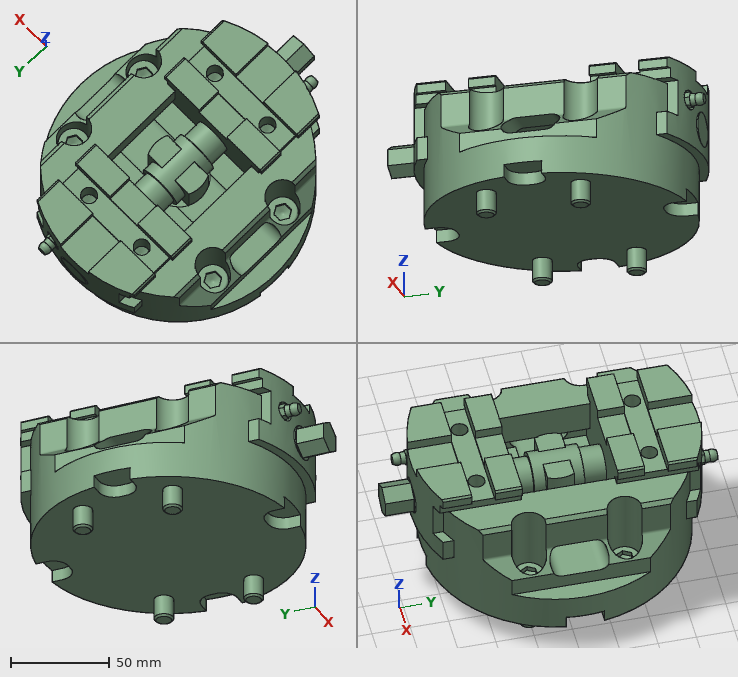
import cadquery as cq
import math

OVERALL_LENGTH = 170.8
BODY_RADIUS = 70.0
BODY_HEIGHT = 58.0

LEDGE_Z = 20.0
LEDGE_X = 60.0
SLOPE_BOTTOM_Z = 30.0
SLOPE_TOP_Z = 38.3
WALL_X = 50.0
SLOPE_FILLET = 2.0
BODY_TOP_CHAMFER = 2.0

NOTCH_WIDTH = 20.0
NOTCH_HEIGHT = 6.7
NOTCH_DEPTH = 15.0
NOTCH_CORNER_RADIUS = 8.4

TSLOT_FLOOR_Z = 28.0
TSLOT_STEP_Z = 40.1
TSLOT_NECK_HALF = 27.5
TSLOT_FOOT_HALF = 35.0

JAW_RADIUS = 75.0
JAW_INNER_Y = 25.0
JAW_TOP_Z = 70.0
JAW_RAIL_BOTTOM_Z = 59.3
JAW_RAIL_STEP_Z = 64.4
JAW_RAIL_HALF = 32.8
JAW_EDGE_CHAMFER = 1.0
KEYWAY_WIDTH = 20.0
KEYWAY_DEPTH = 5.1
GROOVE_WIDTH = 12.3
GROOVE_Y = 45.1
GROOVE_FLOOR_Z = 63.7
JAW_HOLE_X = 19.0
JAW_HOLE_DIAMETER = 8.5
JAW_HOLE_DEPTH = 17.0
DRILL_POINT_ANGLE = 118.0

WINDOW_WIDTH = 30.4
WINDOW_HEIGHT = 12.0
WINDOW_FLOOR_Z = 27.3

SPINDLE_Z = 42.0
SPINDLE_DIAMETER = 20.0
SPINDLE_END_CHAMFER = 1.0
COLLAR_DIAMETER = 24.0
COLLAR_LENGTH = 26.3
HEX_ACROSS_FLATS = 15.0
HEX_END_Y = -90.0
FORK_RADIUS = 16.2
FORK_THICKNESS = 14.0
FORK_TOP_Z = 53.1
FORK_SEAT_DEPTH = 2.0

SCREW_X = WALL_X
SCREW_SPACING_Y = 50.0
SCREW_Y = SCREW_SPACING_Y / 2
SCREW_BORE_DIAMETER = 18.0
SCREW_HEAD_DIAMETER = 16.0
SCREW_HEAD_HEIGHT = 9.9
SCREW_HEAD_FILLET = 1.0
SCREW_SEAT_Z = 13.5
SCREW_SHANK_DIAMETER = 10.0
SCREW_PROJECTION = 12.0
SCREW_TIP_CHAMFER = 1.0
SOCKET_ACROSS_FLATS = 8.0
SOCKET_DEPTH = 5.1

NIPPLE_X = 17.0
NIPPLE_Z = 52.1
NIPPLE_SEAT_DIAMETER = 10.0
NIPPLE_SEAT_Y = 70.7
NIPPLE_HEX_ACROSS_FLATS = 7.0
NIPPLE_HEX_END_Y = 74.0
NIPPLE_WAIST_Y = 76.7
NIPPLE_BEAD_PEAK_Y = 77.9
NIPPLE_BEAD_END_Y = 79.3
NIPPLE_END_Y = OVERALL_LENGTH + HEX_END_Y
NIPPLE_BEAD_DIAMETER = 6.7
NIPPLE_WAIST_DIAMETER = 6.0
NIPPLE_SHOULDER_DIAMETER = 6.3
NIPPLE_TIP_DIAMETER = 5.0

OVERSHOOT = 1.7


def box(x0, x1, y0, y1, z0, z1):
    """Axis-aligned block between two opposite corners."""
    return cq.Workplane("XY").box(x1 - x0, y1 - y0, z1 - z0, centered=False).translate((x0, y0, z0))


def cylinder_z(radius, z0, z1, x=0.0, y=0.0):
    """Upright cylinder between two heights."""
    return cq.Workplane("XY", origin=(x, y, z0)).circle(radius).extrude(z1 - z0)


def cylinder_y(radius, y0, y1, x, z):
    """Cylinder along Y between two Y positions."""
    return cq.Workplane("XZ", origin=(x, y0, z)).circle(radius).extrude(y0 - y1)


def corner_diameter(across_flats):
    """Diameter of the circle through the corners of a hexagon."""
    return across_flats / math.cos(math.pi / 6)


def prism_y(right_half):
    """Prism along Y whose section is the given right half mirrored about X = 0."""
    left_half = [(-x, z) for x, z in reversed(right_half)]
    section = cq.Workplane("XZ").polyline(right_half + left_half).close()
    return section.extrude(JAW_RADIUS + OVERSHOOT, both=True)


def stepped_block():
    """Round block with stepped, sloped ledges on both X sides."""
    profile = prism_y([
        (BODY_RADIUS + OVERSHOOT, 0),
        (BODY_RADIUS + OVERSHOOT, LEDGE_Z),
        (LEDGE_X, LEDGE_Z),
        (LEDGE_X, SLOPE_BOTTOM_Z),
        (WALL_X, SLOPE_TOP_Z),
        (WALL_X, BODY_HEIGHT - BODY_TOP_CHAMFER),
        (WALL_X - BODY_TOP_CHAMFER, BODY_HEIGHT),
    ])
    for side in (-1, 1):
        corner = cq.selectors.NearestToPointSelector((side * WALL_X, 0, SLOPE_TOP_Z))
        profile = profile.edges(corner).fillet(SLOPE_FILLET)
    return profile.intersect(cylinder_z(BODY_RADIUS, 0, BODY_HEIGHT))


def key_notches():
    """Four round-cornered notches, open outwards and downwards."""
    inner = BODY_RADIUS - NOTCH_DEPTH
    notch = box(inner, BODY_RADIUS + OVERSHOOT, -NOTCH_WIDTH / 2, NOTCH_WIDTH / 2, 0, NOTCH_HEIGHT)
    notch = notch.edges("|Z and <X").fillet(NOTCH_CORNER_RADIUS)
    cutters = cq.Workplane("XY")
    for quarter in range(4):
        cutters = cutters.add(notch.rotate((0, 0, 0), (0, 0, 1), 90 * quarter))
    return cutters.combine()


def tslot():
    """T-shaped guide slot along Y."""
    return prism_y([
        (TSLOT_FOOT_HALF, TSLOT_FLOOR_Z),
        (TSLOT_FOOT_HALF, TSLOT_STEP_Z),
        (TSLOT_NECK_HALF, TSLOT_STEP_Z),
        (TSLOT_NECK_HALF, BODY_HEIGHT),
    ])


def cross_window():
    """Obround window along X through the whole body."""
    center_z = WINDOW_FLOOR_Z + WINDOW_HEIGHT / 2
    section = cq.Workplane("YZ", origin=(0, 0, center_z)).slot2D(WINDOW_WIDTH, WINDOW_HEIGHT)
    return section.extrude(BODY_RADIUS, both=True)


def make_body():
    body = stepped_block().cut(key_notches()).cut(tslot()).cut(cross_window())
    seat = cylinder_z(FORK_RADIUS, WINDOW_FLOOR_Z - FORK_SEAT_DEPTH, TSLOT_STEP_Z)
    return body.cut(seat)


def jaw_hole(x, y):
    """Blind hole with a drill point, open at the groove floor."""
    radius = JAW_HOLE_DIAMETER / 2
    shoulder_z = GROOVE_FLOOR_Z - JAW_HOLE_DEPTH
    point_z = shoulder_z - radius / math.tan(math.radians(DRILL_POINT_ANGLE / 2))
    section = [(0, point_z), (radius, shoulder_z), (radius, JAW_TOP_Z), (0, JAW_TOP_Z)]
    hole = cq.Workplane("XZ").polyline(section).close().revolve(360, (0, 0), (0, 1))
    return hole.translate((x, y, 0))


def make_jaws():
    """Two round-backed jaws facing each other across the middle."""
    jaws = prism_y([
        (TSLOT_FOOT_HALF, TSLOT_FLOOR_Z),
        (TSLOT_FOOT_HALF, TSLOT_STEP_Z),
        (TSLOT_NECK_HALF, TSLOT_STEP_Z),
        (TSLOT_NECK_HALF, JAW_RAIL_BOTTOM_Z),
        (JAW_RAIL_HALF, JAW_RAIL_BOTTOM_Z),
        (JAW_RAIL_HALF, JAW_RAIL_STEP_Z),
        (TSLOT_FOOT_HALF, JAW_RAIL_STEP_Z),
        (TSLOT_FOOT_HALF, JAW_TOP_Z - JAW_EDGE_CHAMFER),
        (TSLOT_FOOT_HALF - JAW_EDGE_CHAMFER, JAW_TOP_Z),
    ])
    jaws = jaws.intersect(cylinder_z(JAW_RADIUS, 0, JAW_TOP_Z))
    half = JAW_RADIUS
    jaws = jaws.cut(box(-half, half, -JAW_INNER_Y, JAW_INNER_Y, 0, JAW_TOP_Z))
    keyway_half = KEYWAY_WIDTH / 2
    jaws = jaws.cut(box(-keyway_half, keyway_half, -half, half, JAW_TOP_Z - KEYWAY_DEPTH, JAW_TOP_Z))
    for side in (-1, 1):
        start = side * GROOVE_Y - GROOVE_WIDTH / 2
        jaws = jaws.cut(box(-half, half, start, start + GROOVE_WIDTH, GROOVE_FLOOR_Z, JAW_TOP_Z))
        for x in (-JAW_HOLE_X, JAW_HOLE_X):
            jaws = jaws.cut(jaw_hole(x, side * GROOVE_Y))
    return jaws


def make_spindle():
    """Spindle with chamfered ends, central collar and a drive hexagon on the -Y end."""
    shaft = cylinder_y(SPINDLE_DIAMETER / 2, -JAW_RADIUS, JAW_RADIUS, 0, SPINDLE_Z)
    shaft = shaft.faces("<Y or >Y").chamfer(SPINDLE_END_CHAMFER)
    collar = cylinder_y(COLLAR_DIAMETER / 2, -COLLAR_LENGTH / 2, COLLAR_LENGTH / 2, 0, SPINDLE_Z)
    drive = cq.Workplane("XZ", origin=(0, 0, SPINDLE_Z))
    drive = drive.transformed(rotate=(0, 0, 90)).polygon(6, corner_diameter(HEX_ACROSS_FLATS))
    return shaft.union(collar).union(drive.extrude(-HEX_END_Y))


def make_fork():
    """Round-ended plate that straddles the spindle collar."""
    half = FORK_THICKNESS / 2
    blank = cylinder_z(FORK_RADIUS, WINDOW_FLOOR_Z - FORK_SEAT_DEPTH, FORK_TOP_Z)
    return blank.intersect(box(-FORK_RADIUS, FORK_RADIUS, -half, half, 0, FORK_TOP_Z))


def make_screw(x, y):
    """Socket head cap screw standing on its seat."""
    head_top = SCREW_SEAT_Z + SCREW_HEAD_HEIGHT
    head = cylinder_z(SCREW_HEAD_DIAMETER / 2, SCREW_SEAT_Z, head_top)
    head = head.faces(">Z").edges().fillet(SCREW_HEAD_FILLET)
    shank = cylinder_z(SCREW_SHANK_DIAMETER / 2, -SCREW_PROJECTION, SCREW_SEAT_Z)
    shank = shank.faces("<Z").chamfer(SCREW_TIP_CHAMFER)

    corner_radius = corner_diameter(SOCKET_ACROSS_FLATS) / 2
    socket_top = cq.Workplane("XY", origin=(0, 0, head_top)).polygon(6, 2 * corner_radius)
    socket = socket_top.extrude(-SOCKET_DEPTH)
    cone_depth = corner_radius / math.tan(math.radians(DRILL_POINT_ANGLE / 2))
    cone_floor = head_top - SOCKET_DEPTH
    cone_section = [
        (0, cone_floor),
        (corner_radius, cone_floor + cone_depth),
        (corner_radius, head_top),
        (0, head_top),
    ]
    cone = cq.Workplane("XZ").polyline(cone_section).close().revolve(360, (0, 0), (0, 1))
    return head.union(shank).cut(socket.intersect(cone)).translate((x, y, 0))


def make_nipple():
    """Grease nipple pointing along -Y with a hexagonal foot."""
    hexagon = cq.Workplane("XZ", origin=(0, -NIPPLE_SEAT_Y, 0))
    hexagon = hexagon.polygon(6, corner_diameter(NIPPLE_HEX_ACROSS_FLATS))
    foot = hexagon.extrude(NIPPLE_HEX_END_Y - NIPPLE_SEAT_Y)
    bead = NIPPLE_BEAD_DIAMETER / 2
    section = (
        cq.Workplane("XY")
        .moveTo(0, -NIPPLE_HEX_END_Y)
        .lineTo(bead, -NIPPLE_HEX_END_Y)
        .lineTo(NIPPLE_WAIST_DIAMETER / 2, -NIPPLE_WAIST_Y)
        .threePointArc((bead, -NIPPLE_BEAD_PEAK_Y), (NIPPLE_SHOULDER_DIAMETER / 2, -NIPPLE_BEAD_END_Y))
        .lineTo(NIPPLE_TIP_DIAMETER / 2, -NIPPLE_END_Y)
        .lineTo(0, -NIPPLE_END_Y)
        .close()
    )
    stem = section.revolve(360, (0, 0), (0, 1))
    return foot.union(stem).translate((-NIPPLE_X, 0, NIPPLE_Z))


body = make_body()
jaws = make_jaws()

nipple = make_nipple()
seat_radius = NIPPLE_SEAT_DIAMETER / 2
nipple_seat = cylinder_y(seat_radius, -JAW_RADIUS, -NIPPLE_SEAT_Y, -NIPPLE_X, NIPPLE_Z)
for turn in (0, 180):
    jaws = jaws.cut(nipple_seat.rotate((0, 0, 0), (0, 0, 1), turn))
    jaws = jaws.union(nipple.rotate((0, 0, 0), (0, 0, 1), turn))

for screw_x in (-SCREW_X, SCREW_X):
    for screw_y in (-SCREW_Y, SCREW_Y):
        body = body.cut(cylinder_z(SCREW_BORE_DIAMETER / 2, SCREW_SEAT_Z, BODY_HEIGHT, screw_x, screw_y))
        body = body.union(make_screw(screw_x, screw_y))

result = body.union(jaws).union(make_fork()).union(make_spindle())